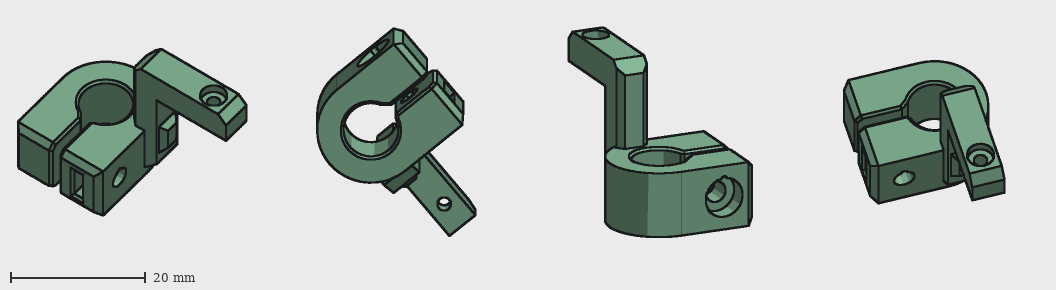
import cadquery as cq
import math

clamp_radius = 8.0
clamp_height = 10
front_y = -12.0
front_chamfer = 1.0
bore_radius = 4.05

slit_center_x = -0.28
slit_width = 1.45
slit_left = slit_center_x - slit_width / 2
slit_right = slit_center_x + slit_width / 2
left_ease_x = -1.97
left_ease_y = -4.75
right_ease_x = 0.97
right_ease_y = -4.4
opening_chamfer = 0.4
edge_tolerance = 0.03

bolt_y = -7.0
bolt_z = clamp_height / 2
bolt_radius = 1.6
bolt_head_radius = 3.0
bolt_head_depth = 3.0
relief_radius = 0.5
relief_height = 0.3
nut_slot_left = 3.03
nut_slot_width = 1.95
nut_slot_height = 6.0
nut_slot_end_y = bolt_y + nut_slot_height / 2
nut_lead_in = 0.45

total_height = 23.5
arm_thickness = 5
arm_center_y = 1.6
arm_left = 5.25
arm_right = arm_left + arm_thickness
arm_end = 23.25
arm_underside_z = total_height - arm_thickness
arm_foot_z = 4.0
arm_foot_x = 6.25
elbow_chamfer = 2.0
beam_end_chamfer = 1.5
upright_chamfer = 1.0
arm_hole_x = 19.0
arm_hole_diameter = 2.0
arm_recess_diameter = 4.0
arm_recess_depth = 1.5

pad_height = 1.0
pad_base_length = 5.8
pad_center_z = 9.03
pad_base_width = 4.0


def bore_y(x):
    """Y of the slit-side bore wall at a given X."""
    return -math.sqrt(bore_radius**2 - x**2)


def make_clamp():
    """Clamp block with the bore and slit, chamfered along the rim of the opening."""
    body = (
        cq.Workplane("XY")
        .moveTo(-clamp_radius, front_y)
        .lineTo(-clamp_radius, 0)
        .threePointArc((0, clamp_radius), (clamp_radius, 0))
        .lineTo(clamp_radius, front_y)
        .close()
        .extrude(clamp_height)
        .faces("<Y")
        .edges()
        .chamfer(front_chamfer)
    )
    opening = (
        cq.Workplane("XY")
        .moveTo(slit_left, front_y)
        .lineTo(slit_left, left_ease_y)
        .lineTo(left_ease_x, bore_y(left_ease_x))
        .threePointArc((0, bore_radius), (right_ease_x, bore_y(right_ease_x)))
        .lineTo(slit_right, right_ease_y)
        .lineTo(slit_right, front_y)
        .close()
        .extrude(clamp_height)
    )
    body = body.cut(opening)
    return body.newObject(opening_rim(body)).chamfer(opening_chamfer)


def opening_rim(body):
    """Edges around the slit and bore walls, apart from the inner vertical ones."""
    rim = []
    for edge in body.edges().vals():
        center = edge.Center()
        bounds = edge.BoundingBox()
        reach = max(-bounds.xmin, bounds.xmax)
        beside_opening = reach < bore_radius + edge_tolerance
        inner_vertical = bounds.zlen > front_chamfer + edge_tolerance and center.y > front_y + edge_tolerance
        on_opening = center.y > left_ease_y or bounds.xlen < edge_tolerance
        if beside_opening and on_opening and not inner_vertical:
            rim.append(edge)
    return rim


def make_bolt_bore(radius, length):
    """Hole along X from the left face, with a small round relief at its top."""
    start = cq.Workplane("YZ", origin=(-clamp_radius, bolt_y, bolt_z))
    hole = start.circle(radius).extrude(length)
    relief_z = radius + relief_height - relief_radius
    relief = start.center(0, relief_z).circle(relief_radius).extrude(length)
    return hole.union(relief)


def make_nut_slot():
    """Slot from the front face; its mouth flares to the left and downward."""
    slot_bottom = bolt_z - nut_slot_height / 2
    slot_depth = nut_slot_end_y - front_y
    flare_width = nut_slot_width + nut_lead_in
    flare_height = nut_slot_height + nut_lead_in
    slot = (
        cq.Workplane("XY", origin=(nut_slot_left, front_y, slot_bottom))
        .box(nut_slot_width, slot_depth, nut_slot_height, centered=False)
    )
    flare = (
        cq.Workplane("XZ", origin=(nut_slot_left - nut_lead_in, front_y, slot_bottom - nut_lead_in))
        .rect(flare_width, flare_height, centered=False)
        .workplane(offset=-nut_lead_in)
        .center(nut_lead_in, nut_lead_in)
        .rect(nut_slot_width, nut_slot_height, centered=False)
        .loft()
    )
    return slot.union(flare)


def make_arm():
    """Bent arm whose foot is buried in the clamp and slopes up past its right side."""
    foot_bottom_z = arm_foot_z - (arm_right - clamp_radius)
    arm = (
        cq.Workplane("XZ", origin=(0, arm_center_y, 0))
        .moveTo(arm_left, arm_foot_z)
        .lineTo(arm_left, total_height)
        .lineTo(arm_end, total_height)
        .lineTo(arm_end, arm_underside_z)
        .lineTo(arm_right, arm_underside_z)
        .lineTo(arm_right, arm_foot_z)
        .lineTo(clamp_radius, foot_bottom_z)
        .lineTo(arm_foot_x, foot_bottom_z)
        .lineTo(arm_foot_x, arm_foot_z)
        .close()
        .extrude(arm_thickness / 2, both=True)
    )
    arm = arm.edges("|Z and <X").chamfer(upright_chamfer)
    elbow = (
        cq.Workplane("XZ", origin=(0, arm_center_y, 0))
        .moveTo(arm_left, total_height)
        .lineTo(arm_left + elbow_chamfer, total_height)
        .lineTo(arm_left, total_height - elbow_chamfer)
        .close()
        .extrude(arm_thickness / 2, both=True)
    )
    arm = arm.cut(elbow).edges(">X and >Z").chamfer(beam_end_chamfer)
    return arm.union(make_pad())


def make_pad():
    """Pad with sides that taper inward at 45 degrees."""
    pad_tip_length = pad_base_length - 2 * pad_height
    pad_tip_width = pad_base_width - 2 * pad_height
    return (
        cq.Workplane("YZ", origin=(arm_right, arm_center_y, pad_center_z))
        .rect(pad_base_width, pad_base_length)
        .workplane(offset=pad_height)
        .rect(pad_tip_width, pad_tip_length)
        .loft()
    )


def make_arm_hole():
    """Screw hole through the beam with a head recess on top."""
    top = cq.Workplane("XY", origin=(arm_hole_x, arm_center_y, total_height))
    hole = top.circle(arm_hole_diameter / 2).extrude(-arm_thickness)
    recess = top.circle(arm_recess_diameter / 2).extrude(-arm_recess_depth)
    return hole.union(recess)


result = (
    make_clamp()
    .union(make_arm())
    .cut(make_bolt_bore(bolt_radius, 2 * clamp_radius))
    .cut(make_bolt_bore(bolt_head_radius, bolt_head_depth))
    .cut(make_nut_slot())
    .cut(make_arm_hole())
)